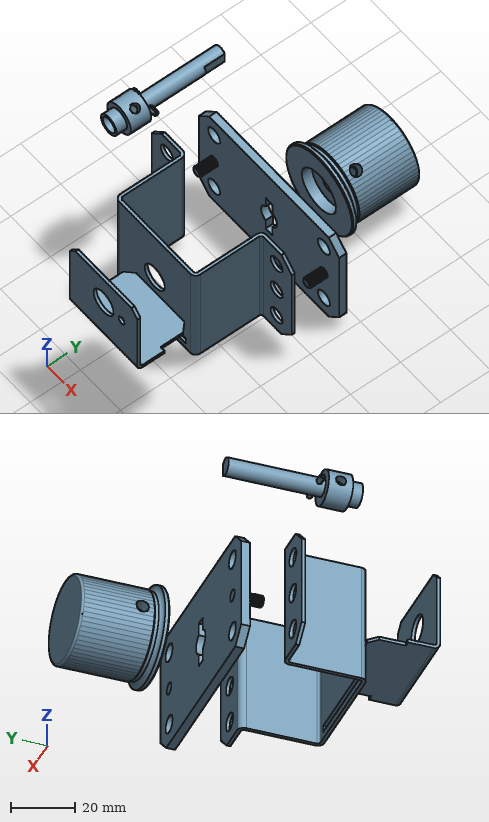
import cadquery as cq
import math


sheet = 1.2
bend_inner = 1.0
bend_outer = bend_inner + sheet

flange_width = 70.2
flange_height = 41.9
flange_corner = 5.2
mount_hole_dia = 6.0
mount_half_x = 27.5
mount_step_z = 13.5
pocket_hole_dia = 10.0

hat_half_width = 20.0
hat_depth = 28.0
tab_slot_width = 31.2
tab_slot_height = 2.2
tab_slot_z = -17.3

plate_x = 1.0
plate_z = -5.2
plate_front = 44.9
plate_thickness = 3.0
plate_bore_dia = 8.0
pin_slot_length = 16.0
pin_slot_width = 3.3

stud_dia = 4.0
stud_root_dia = 3.3
stud_reach = 7.0
stud_chamfer = 0.4
thread_pitch = 0.7

knob_x = 1.6
knob_z = -7.5
knob_front = 64.3
knob_length = 28.7
knob_rim_dia = 33.6
knob_rim_chamfer = 0.4
knob_rim_length = 1.6
knob_flare_end = 2.8
knob_flare_sag = 0.31
knob_neck_dia = 29.0
knob_neck_end = 4.1
knob_grip_dia = 29.7
knob_grip_sides = 60
knob_grip_round = 0.9
knob_recess_dia = 17.0
knob_recess_depth = 4.0
knob_bore_end = 16.0
knob_screw_dia = 3.3
knob_counterbore_dia = 4.2
knob_counterbore_depth = 4.4
knob_screw_y = 8.4
knob_screw_angle = 57

shaft_x = -33.2
shaft_z = 38.2
shaft_front = 8.1
shaft_length = 44.6
shaft_dia = 6.0
nose_dia = 8.0
nose_length = 4.1
collar_dia = 12.0
collar_length = 8.1
shaft_flat_offset = 2.2
shaft_flat_length = 8.3
socket_depth = 10.0
drill_tip_angle = 118
collar_screw_dia = 3.3
collar_screw_angle = 60
screw_spacing = 120

pin_outer_dia = 2.0
pin_inner_dia = 1.5
pin_length = collar_dia
pin_slit = 0.4
pin_end_taper = 0.6
pin_tip_dia = 1.6
pin_y = 22.4

angle_x = 12.2
angle_bottom = 7.6
angle_front = -30.2
angle_width = 33.9
angle_height = 30.0
angle_depth = 22.7
angle_corner = 3.0
angle_shoulder_length = 10.8
angle_tab_width = 30.1
angle_hole_z = 25.6
index_hole_dia = 3.0
index_hole_offset = 9.0


def y_cylinder(diameter, x, z, start, length):
    """Solid cylinder along +Y from y = start."""
    plane = cq.Plane(origin=(x, start, z), xDir=(1, 0, 0), normal=(0, 1, 0))
    return cq.Workplane(plane).circle(diameter / 2).extrude(length)


def block(width, depth, height, x, y, z):
    """Box centred on the given point."""
    return cq.Workplane("XY").box(width, depth, height).translate((x, y, z))


def turned_along_y(outline, x, y, z):
    """Revolve (radius, distance) points about the Y direction and move them into place."""
    profile = cq.Workplane("XY").polyline(outline).close()
    return profile.revolve(360, (0, 0, 0), (0, 1, 0)).translate((x, y, z))


def radial_cutter(diameter, angle, x, y, z, length, inner_radius=0):
    """Cylinder pointing away from an axis parallel to Y, at an angle from +X towards +Z."""
    direction = (math.cos(math.radians(angle)), 0, math.sin(math.radians(angle)))
    plane = cq.Plane(origin=(x, y, z), xDir=(0, 1, 0), normal=direction)
    return cq.Workplane(plane).workplane(offset=inner_radius).circle(diameter / 2).extrude(length)


def round_bends(body, bends):
    """Fillet the edge that passes through each (point, radius)."""
    for point, radius in bends:
        body = body.edges(cq.selectors.NearestToPointSelector(point)).fillet(radius)
    return body


def make_hat_bracket():
    half_flange = flange_width / 2
    inner_half = hat_half_width - sheet
    flange_front = hat_depth - sheet
    right_half = [
        (hat_half_width, 0),
        (hat_half_width, flange_front),
        (half_flange, flange_front),
        (half_flange, hat_depth),
        (inner_half, hat_depth),
        (inner_half, sheet),
    ]
    left_half = [(-x, y) for x, y in reversed(right_half)]
    hat = cq.Workplane("XY").polyline(right_half + left_half).close().extrude(flange_height / 2, both=True)

    bends = []
    for side in (-1, 1):
        bends.append(((side * hat_half_width, 0, 0), bend_outer))
        bends.append(((side * inner_half, sheet, 0), bend_inner))
        bends.append(((side * hat_half_width, flange_front, 0), bend_inner))
        bends.append(((side * inner_half, hat_depth, 0), bend_outer))
    hat = round_bends(hat, bends)
    hat = hat.edges("|Y and (<X or >X)").chamfer(flange_corner)

    for x in (-mount_half_x, mount_half_x):
        for z in (-mount_step_z, 0, mount_step_z):
            hat = hat.cut(y_cylinder(mount_hole_dia, x, z, flange_front, sheet))
    hat = hat.cut(y_cylinder(pocket_hole_dia, 0, 0, 0, sheet))
    return hat.cut(block(tab_slot_width, sheet, tab_slot_height, 0, sheet / 2, tab_slot_z))


def make_mounting_plate():
    middle_y = plate_front + plate_thickness / 2
    plate = block(flange_width, plate_thickness, flange_height, plate_x, middle_y, plate_z)
    plate = plate.edges("|Y").chamfer(flange_corner)
    for side in (-1, 1):
        x = plate_x + side * mount_half_x
        for z in (plate_z - mount_step_z, plate_z + mount_step_z):
            plate = plate.cut(y_cylinder(mount_hole_dia, x, z, plate_front, plate_thickness))
        plate = plate.cut(y_cylinder(stud_dia, x, plate_z, plate_front, plate_thickness))
    plate = plate.cut(y_cylinder(plate_bore_dia, plate_x, plate_z, plate_front, plate_thickness))
    return plate.cut(block(pin_slot_width, plate_thickness, pin_slot_length, plate_x, middle_y, plate_z))


def make_stud(side):
    """Stud with a plain shank in the plate and a ring-grooved thread in front of it."""
    crest = stud_dia / 2
    root = stud_root_dia / 2
    groove_count = int((stud_reach - stud_chamfer) / thread_pitch)
    outline = [(0, plate_thickness), (crest, plate_thickness), (crest, 0)]
    for groove in range(groove_count):
        outline.append((root, -(groove + 0.5) * thread_pitch))
        outline.append((crest, -(groove + 1) * thread_pitch))
    outline.append((crest, stud_chamfer - stud_reach))
    outline.append((crest - stud_chamfer, -stud_reach))
    outline.append((0, -stud_reach))
    return turned_along_y(outline, plate_x + side * mount_half_x, plate_front, plate_z)


def make_knob():
    rim = knob_rim_dia / 2
    neck = knob_neck_dia / 2
    grip = knob_grip_dia / 2
    flare_middle = (
        (rim + neck) / 2 - knob_flare_sag,
        (knob_rim_length + knob_flare_end) / 2 - knob_flare_sag,
    )
    round_offset = knob_grip_round * math.sqrt(0.5)
    round_middle = (
        grip - knob_grip_round + round_offset,
        knob_length - knob_grip_round + round_offset,
    )
    envelope = (
        cq.Workplane("XY")
        .moveTo(0, 0)
        .lineTo(rim - knob_rim_chamfer, 0)
        .lineTo(rim, knob_rim_chamfer)
        .lineTo(rim, knob_rim_length)
        .threePointArc(flare_middle, (neck, knob_flare_end))
        .lineTo(neck, knob_neck_end)
        .lineTo(grip, knob_neck_end + grip - neck)
        .lineTo(grip, knob_length - knob_grip_round)
        .threePointArc(round_middle, (grip - knob_grip_round, knob_length))
        .lineTo(0, knob_length)
        .close()
        .revolve(360, (0, 0, 0), (0, 1, 0))
        .translate((knob_x, knob_front, knob_z))
    )
    grip_plane = cq.Plane(
        origin=(knob_x, knob_front + knob_neck_end, knob_z), xDir=(1, 0, 0), normal=(0, 1, 0)
    )
    half_side_angle = 180 / knob_grip_sides
    grip_prism = (
        cq.Workplane(grip_plane)
        .transformed(rotate=(0, 0, half_side_angle))
        .polygon(knob_grip_sides, knob_grip_dia)
        .extrude(knob_length - knob_neck_end)
    )
    round_front = y_cylinder(knob_rim_dia, knob_x, knob_z, knob_front, knob_neck_end)
    knob = envelope.intersect(round_front.union(grip_prism))

    knob = knob.cut(y_cylinder(knob_recess_dia, knob_x, knob_z, knob_front, knob_recess_depth))
    knob = knob.cut(y_cylinder(shaft_dia, knob_x, knob_z, knob_front, knob_bore_end))

    screw_y = knob_front + knob_screw_y
    for angle in (knob_screw_angle, knob_screw_angle + screw_spacing):
        knob = knob.cut(radial_cutter(knob_screw_dia, angle, knob_x, screw_y, knob_z, grip))
        counterbore = radial_cutter(
            knob_counterbore_dia, angle, knob_x, screw_y, knob_z,
            knob_counterbore_depth, grip - knob_counterbore_depth,
        )
        knob = knob.cut(counterbore)
    return knob


def make_shaft():
    nose = nose_dia / 2
    collar = collar_dia / 2
    rod = shaft_dia / 2
    collar_end = nose_length + collar_length
    socket_tip = socket_depth + rod / math.tan(math.radians(drill_tip_angle / 2))
    shaft = turned_along_y(
        [
            (rod, 0),
            (nose, 0),
            (nose, nose_length),
            (collar, nose_length),
            (collar, collar_end),
            (rod, collar_end),
            (rod, shaft_length),
            (0, shaft_length),
            (0, socket_tip),
            (rod, socket_depth),
        ],
        shaft_x, shaft_front, shaft_z,
    )
    flat_cut_x = shaft_x + shaft_flat_offset + rod / 2
    flat_cut_y = shaft_front + shaft_length - shaft_flat_length / 2
    shaft = shaft.cut(block(rod, shaft_flat_length, shaft_dia, flat_cut_x, flat_cut_y, shaft_z))

    screw_y = shaft_front + nose_length + collar_length / 2
    for angle in (collar_screw_angle, collar_screw_angle + screw_spacing):
        shaft = shaft.cut(radial_cutter(collar_screw_dia, angle, shaft_x, screw_y, shaft_z, collar))
    pin_hole = cq.Workplane("YZ").circle(pin_outer_dia / 2).extrude(rod, both=True)
    return shaft.cut(pin_hole.translate((shaft_x, pin_y, shaft_z)))


def make_spring_pin():
    half = pin_length / 2
    outer = pin_outer_dia / 2
    inner = pin_inner_dia / 2
    tip = pin_tip_dia / 2
    profile = [
        (-half, inner),
        (-half, tip),
        (pin_end_taper - half, outer),
        (half - pin_end_taper, outer),
        (half, tip),
        (half, inner),
    ]
    pin = cq.Workplane("XZ").polyline(profile).close().revolve(360, (0, 0, 0), (1, 0, 0))
    pin = pin.cut(block(pin_length, pin_slit, outer, 0, 0, outer / 2 + inner / 2))
    return pin.translate((shaft_x, pin_y, shaft_z))


def make_angle_bracket():
    back = angle_front + sheet
    top = angle_bottom + angle_height
    outline = [
        (angle_front, angle_bottom),
        (angle_front + angle_depth, angle_bottom),
        (angle_front + angle_depth, angle_bottom + sheet),
        (back, angle_bottom + sheet),
        (back, top),
        (angle_front, top),
    ]
    angle = cq.Workplane("YZ").polyline(outline).close().extrude(angle_width / 2, both=True)
    angle = angle.translate((angle_x, 0, 0))
    angle = round_bends(
        angle,
        [
            ((angle_x, angle_front, angle_bottom), bend_outer),
            ((angle_x, back, angle_bottom + sheet), bend_inner),
        ],
    )
    angle = angle.edges("|Y and >Z").chamfer(angle_corner)

    shoulder_width = (angle_width - angle_tab_width) / 2
    tab_length = angle_depth - angle_shoulder_length
    for side in (-1, 1):
        x = angle_x + side * (angle_width - shoulder_width) / 2
        y = angle_front + angle_depth - tab_length / 2
        angle = angle.cut(block(shoulder_width, tab_length, sheet, x, y, angle_bottom + sheet / 2))
    angle = angle.edges("|Z and >Y").chamfer(angle_corner)

    angle = angle.cut(y_cylinder(pocket_hole_dia, angle_x, angle_hole_z, angle_front, sheet))
    index_x = angle_x + index_hole_offset
    return angle.cut(y_cylinder(index_hole_dia, index_x, angle_hole_z, angle_front, sheet))


hat_bracket = make_hat_bracket()
mounting_plate = make_mounting_plate()
studs = [make_stud(side) for side in (-1, 1)]
knob = make_knob()
shaft = make_shaft()
spring_pin = make_spring_pin()
angle_bracket = make_angle_bracket()

result = cq.Compound.makeCompound([
    hat_bracket.val(),
    mounting_plate.val(),
    *[stud.val() for stud in studs],
    knob.val(),
    shaft.val(),
    spring_pin.val(),
    angle_bracket.val(),
])